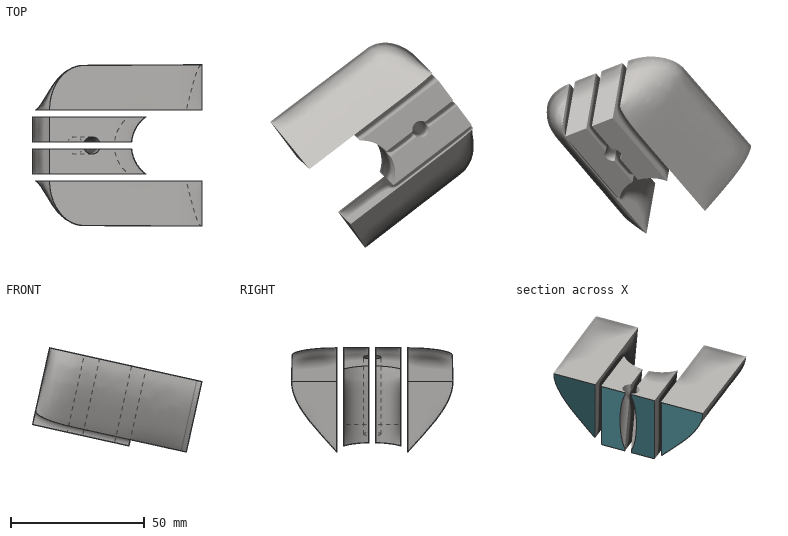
import cadquery as cq
import math

tilt_angle = 12.5

body_gap = 2.5
inner_offset = body_gap / 2
block_width = 9.5
shell_offset = inner_offset + block_width + body_gap

block_length = 37.0
block_height = 29.5
saddle_inner_length = 31.5
hole_radius = 3.2
hole_center_x = 16.25

shell_length = 58.5
shell_height = 27.1
shell_width = 17.0
end_strip_length = 2.0
skin_length = shell_length - end_strip_length
nose_length = 13.2
nose_width = 16.8
heel_rise = 3.0
width_drop = 1.6
nose_steps = 24
flank_steps = 16
depth_steps = 16
skin_tolerance = 0.001


def make_block():
    """Block on the +Y side, with a concave saddle end and half of the cross hole."""
    outer_offset = inner_offset + block_width
    saddle_center_x = (
        block_length**2 + outer_offset**2 - saddle_inner_length**2 - inner_offset**2
    ) / (2 * (block_length - saddle_inner_length))
    saddle_radius = ((saddle_center_x - block_length) ** 2 + outer_offset**2) ** 0.5
    block = (
        cq.Workplane("XY")
        .box(block_length, block_width, block_height, centered=False)
        .translate((0, inner_offset, -block_height))
    )
    saddle = cq.Workplane("XY").center(saddle_center_x, 0).circle(saddle_radius).extrude(-block_height)
    hole = cq.Workplane("XY").center(hole_center_x, 0).circle(hole_radius).extrude(-block_height)
    return block.cut(saddle).cut(hole)


def width_factor(depth_fraction):
    """Share of the full shell width left at a fraction of the depth."""
    return 1 - width_drop * depth_fraction**2 + (width_drop - 1) * depth_fraction**3


def nose_point(turn_fraction, depth_fraction):
    """Skin point on the rounded nose: the turn runs from the front edge (0) to the flank (1)."""
    turn = turn_fraction * math.pi / 2
    x = nose_length * (1 - math.cos(turn))
    y = nose_width * math.sin(turn) * width_factor(depth_fraction)
    local_height = shell_height - heel_rise * (1 - math.sin(turn))
    return cq.Vector(x, y, -local_height * depth_fraction)


def flank_point(length_fraction, depth_fraction):
    """Skin point on the slightly widening flank: from the nose (0) to the end strip (1)."""
    x = nose_length + (skin_length - nose_length) * length_fraction
    y = (nose_width + (shell_width - nose_width) * length_fraction) * width_factor(depth_fraction)
    return cq.Vector(x, y, -shell_height * depth_fraction)


def make_skin():
    """One smooth outer surface that wraps the nose and runs along the flank."""
    depths = [j / depth_steps for j in range(depth_steps + 1)]
    rows = []
    for i in range(nose_steps + 1):
        rows.append([nose_point(i / nose_steps, depth) for depth in depths])
    for i in range(1, flank_steps + 1):
        rows.append([flank_point(i / flank_steps, depth) for depth in depths])
    return cq.Face.makeSplineApprox(rows, tol=skin_tolerance)


def flat_face(*edges):
    return cq.Face.makeFromWires(cq.Wire.assembleEdges(edges))


def make_shell():
    """Shell on the +Y side: the skin closed by a flat top, inside and end, plus a straight end strip."""
    skin = make_skin()
    skin_edges = cq.Workplane(skin)
    front_edge = skin_edges.edges("<X").val()
    end_edge = skin_edges.edges(">X").val()
    top_edge = skin_edges.edges(">Z").val()
    bottom_edge = skin_edges.edges("<Z").val()

    top_corner = cq.Vector(skin_length, 0, 0)
    inner_top_edge = cq.Edge.makeLine(nose_point(0, 0), top_corner)
    end_top_edge = cq.Edge.makeLine(flank_point(1, 0), top_corner)
    end_inner_edge = cq.Edge.makeLine(top_corner, flank_point(1, 1))

    top = flat_face(top_edge, end_top_edge, inner_top_edge)
    inside = flat_face(front_edge, inner_top_edge, end_inner_edge, bottom_edge)
    end = flat_face(end_edge, end_top_edge, end_inner_edge)
    body = cq.Solid.makeSolid(cq.Shell.makeShell([skin, top, inside, end])).fix()
    strip = cq.Solid.extrudeLinear(end, cq.Vector(end_strip_length, 0, 0))
    return cq.Workplane(body).union(cq.Workplane(strip)).translate((0, shell_offset, 0))


def place_pair(body):
    """Tip a body into place and return its solid together with its mirror image."""
    tipped = body.rotate((0, 0, 0), (0, 1, 0), tilt_angle)
    return [*tipped.solids().vals(), *tipped.mirror("XZ").solids().vals()]


blocks = place_pair(make_block())
shells = place_pair(make_shell())

result = cq.Compound.makeCompound([*blocks, *shells])